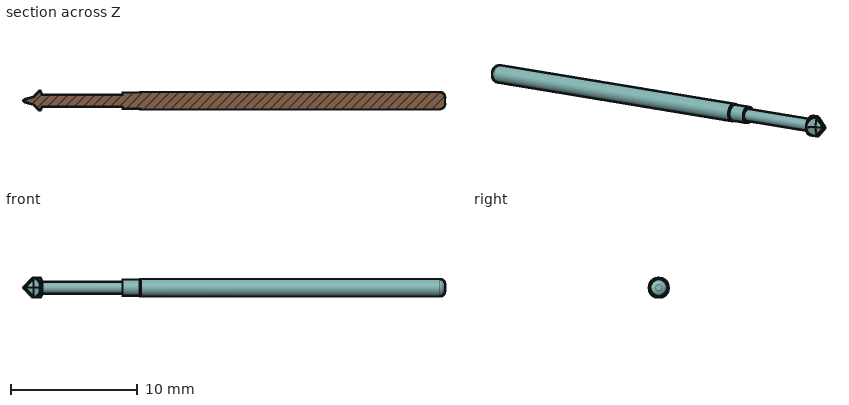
import cadquery as cq

total_length = 33.28

head_radius = 0.79
head_rear = 1.51
rear_taper_length = 0.15

shaft_radius = 0.49

collar_start = 7.83
collar_end = 9.17
collar_radius = 0.65

tube_radius = 0.70
mouth_bevel = 0.10
end_flat_radius = 0.25

cutting_edge_run = 0.96
bevel_slope = 1.0
bevel_length = 0.13
blade_slope = 0.27
flank_start = 0.81
flank_slope = 1.0


def make_body():
    """Turned probe body with a blank, square-ended head."""
    tube_start = collar_end + mouth_bevel
    return (
        cq.Workplane("XZ")
        .moveTo(0, 0)
        .lineTo(0, head_radius)
        .lineTo(head_rear - rear_taper_length, head_radius)
        .lineTo(head_rear, shaft_radius)
        .lineTo(collar_start, shaft_radius)
        .lineTo(collar_start, collar_radius)
        .lineTo(collar_end, collar_radius)
        .lineTo(tube_start, tube_radius)
        .lineTo(total_length, tube_radius)
        .lineTo(total_length, 0)
        .close()
        .revolve(360, (0, 0, 0), (1, 0, 0))
        .faces(">X")
        .edges()
        .fillet(tube_radius - end_flat_radius)
    )


def make_pyramid(apex_x, slope, edge_run):
    """Rhombic pyramid opening toward +X, from its apex on the axis to the tube end.

    slope is the growth of Y half width per unit of X; edge_run is the X travel
    of the top and bottom edges per unit of Z.
    """
    height = total_length - apex_x
    half_width = slope * height
    half_height = height / edge_run
    apex = cq.Vector(apex_x, 0, 0)
    base = [
        cq.Vector(total_length, half_width, 0),
        cq.Vector(total_length, 0, half_height),
        cq.Vector(total_length, -half_width, 0),
        cq.Vector(total_length, 0, -half_height),
    ]
    outlines = [base]
    for start, end in zip(base, base[1:] + base[:1]):
        outlines.append([apex, end, start])
    faces = [cq.Face.makeFromWires(cq.Wire.makePolygon(points, close=True)) for points in outlines]
    solid = cq.Solid.makeSolid(cq.Shell.makeShell(faces))
    return cq.Workplane(solid.fix())


def make_blade_envelope():
    """Space inside all the facets of the blade; it encloses the rest of the probe."""
    bevel_width = bevel_slope * bevel_length
    flank_width = bevel_width + blade_slope * (flank_start - bevel_length)
    blade_apex = bevel_length - bevel_width / blade_slope
    flank_apex = flank_start - flank_width / flank_slope
    flank_run = cutting_edge_run * blade_slope / flank_slope

    bevels = make_pyramid(0, bevel_slope, cutting_edge_run)
    blade = make_pyramid(blade_apex, blade_slope, cutting_edge_run)
    flanks = make_pyramid(flank_apex, flank_slope, flank_run)
    return blade.union(flanks).intersect(bevels)


result = make_body().intersect(make_blade_envelope())